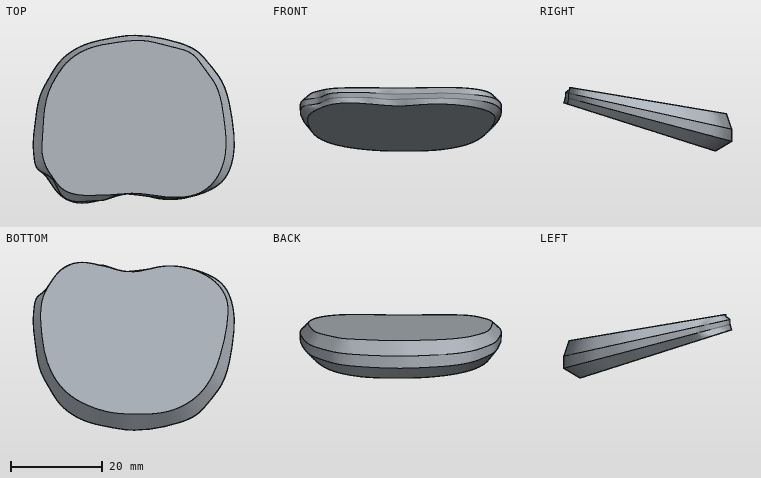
import cadquery as cq

TOP_HEIGHT = 4.1
TOP_FALL = 0.168
BOTTOM_HEIGHT = -2.3
BOTTOM_FALL = 0.318
BAND_TOP = 0.35
BAND_BOTTOM = 0.64

RIM_STATIONS = [
    ((0.2, 17.35), (0.2, 18.5), (0.1, 14.95)),
    ((3.85, 17.05), (4.15, 18.17), (4.25, 14.85)),
    ((7.5, 16.15), (8.2, 17.35), (7.75, 14.3)),
    ((13.0, 14.25), (14.0, 14.9), (12.05, 12.4)),
    ((15.45, 11.28), (16.8, 11.95), (14.6, 10.35)),
    ((17.8, 7.9), (19.25, 8.6), (16.35, 8.1)),
    ((19.8, 0.25), (21.5, 0.95), (19.55, 0.05)),
    ((20.15, -7.4), (22.0, -7.2), (20.7, -7.3)),
    ((19.32, -10.7), (21.5, -9.9), (20.6, -9.37)),
    ((17.15, -14.25), (19.7, -13.4), (19.05, -12.85)),
    ((14.15, -16.3), (15.9, -15.9), (15.05, -16.0)),
    ((9.85, -17.1), (9.75, -17.35), (9.37, -17.6)),
    ((5.17, -16.8), (5.05, -17.1), (4.85, -17.35)),
    ((0.55, -16.25), (0.45, -16.6), (0.4, -16.35)),
    ((-4.15, -16.55), (-4, -16.7), (-3.95, -16.9)),
    ((-6.65, -16.65), (-6.35, -17.75), (-6.2, -17.5)),
    ((-9.15, -16.7), (-8.75, -17.85), (-8.4, -18.05)),
    ((-12.45, -16.55), (-11.75, -18.1), (-11.28, -18.45)),
    ((-15.48, -15.45), (-15.55, -16.95), (-14.9, -17.55)),
    ((-17.85, -12.75), (-18.2, -12.8), (-18.7, -13.3)),
    ((-19.3, -10.4), (-21.15, -10.9), (-19.85, -10.95)),
    ((-20.08, -7.75), (-21.95, -8.4), (-20.25, -9.37)),
    ((-20.0, -3.05), (-22.05, -4.2), (-20.47, -6.75)),
    ((-19.75, 0.6), (-21.62, -0.2), (-20.25, -3.1)),
    ((-18.8, 5.75), (-20.4, 5.75), (-19.6, 1.35)),
    ((-17.1, 9.25), (-18.6, 9.1), (-17.6, 6.65)),
    ((-14.95, 12.25), (-16.3, 12.6), (-14.6, 10.3)),
    ((-10.0, 15.5), (-10.8, 16.4), (-9.6, 13.2)),
    ((-4.15, 16.85), (-4.8, 17.9), (-4.25, 14.7)),
]


def height_at(y, depth_share):
    """Height of the sloping plane lying at a share of the way from the top to the bottom face."""
    top = TOP_HEIGHT - TOP_FALL * y
    bottom = BOTTOM_HEIGHT - BOTTOM_FALL * y
    return top + (bottom - top) * depth_share


def rim_ring(outline, depth_share):
    """Closed smooth curve through an outline, laid on one of the sloping planes."""
    points = [cq.Vector(x, y, height_at(y, depth_share)) for x, y in outline]
    return cq.Wire.assembleEdges([cq.Edge.makeSpline(points, periodic=True)])


top_edge, widest_band, bottom_edge = zip(*RIM_STATIONS)

rings = [
    rim_ring(bottom_edge, 1),
    rim_ring(widest_band, BAND_BOTTOM),
    rim_ring(widest_band, BAND_TOP),
    rim_ring(top_edge, 0),
]

result = cq.Workplane(obj=cq.Solid.makeLoft(rings, True))